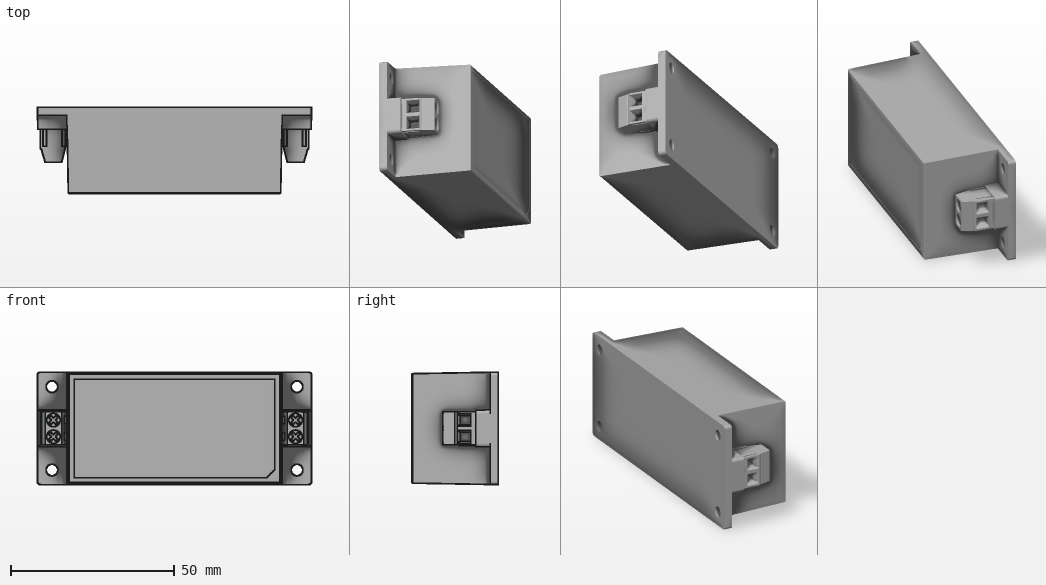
import cadquery as cq
import math


draft_angle = 1.0
case_width = 66.0
case_height = 34.5
case_depth = 26.49
case_edge_chamfer = 0.25

flange_width = 84.0
flange_depth = 2.5
corner_radius = 1.0
shelf_height = 11.4
shelf_depth = 6.83
mounting_hole_diameter = 3.5
mounting_hole_spacing_x = 75.0
mounting_hole_spacing_z = 25.5

recess_width = 61.5
recess_height = 30.1
recess_depth = 0.2
recess_corner_cut = 2.5

pole_pitch = 5.08
pole_count = 2
block_height = pole_count * pole_pitch
block_outer = 41.1
block_inner = case_width / 2 - shelf_depth * math.tan(math.radians(draft_angle))
block_front_outer = 39.6
block_front_inner = 34.5
block_front_depth = 16.95
step_depth = 12.6
bevel_depth = 13.3
bevel_outer = 40.6
outer_slope_depth = 13.6
inner_slope_depth = 10.3
pole_heights = [(i - (pole_count - 1) / 2) * pole_pitch for i in range(pole_count)]

dovetail_positions = (33.9, 39.72)
dovetail_narrow = 0.8
dovetail_wide = 1.25
dovetail_height = 0.25
dovetail_end_depth = 11.95

entry_height = 3.9
entry_start_depth = 8.4
entry_end_depth = step_depth
entry_side_taper = 0.55
entry_front_taper = 0.9
funnel_length = 2.2
entry_length = 5.0

screw_position = (block_front_outer + block_front_inner) / 2
screw_diameter = 4.1
screw_well_depth = 1.0
cross_length = 3.1
cross_width = 0.9
cross_depth = 0.5
notch_position = 33.39
notch_width = 0.77
notch_height = 2.3
notch_floor_depth = 10.0


def drafted_plate(width, height, depth):
    """Plate standing on the mounting face, with its sides drafted inwards."""
    return cq.Workplane("XZ").rect(width, height).extrude(depth, taper=draft_angle)


def rounded_drafted_plate(width, height, depth):
    """Drafted plate with its four corner edges rounded."""
    outline = cq.Sketch().rect(width, height).vertices().fillet(corner_radius)
    return cq.Workplane("XZ").placeSketch(outline).extrude(depth, taper=draft_angle)


def make_case():
    body = drafted_plate(case_width, case_height, case_depth)
    body = body.faces("<Y").chamfer(case_edge_chamfer)
    flange = rounded_drafted_plate(flange_width, case_height, flange_depth)
    shelf = rounded_drafted_plate(flange_width, shelf_height, shelf_depth)
    holes = (
        cq.Workplane("XZ")
        .rect(mounting_hole_spacing_x, mounting_hole_spacing_z, forConstruction=True)
        .vertices()
        .circle(mounting_hole_diameter / 2)
        .extrude(flange_depth)
    )
    recess = (
        cq.Workplane("XZ", origin=(0, -case_depth, 0))
        .rect(recess_width, recess_height)
        .extrude(-recess_depth)
        .edges("|Y and >X and <Z")
        .chamfer(recess_corner_cut)
    )
    return body.union(flange).union(shelf).cut(holes).cut(recess)


def dovetail_bars(side_z):
    """Dovetail bars widening upwards from height side_z, on the -X block."""
    bars = cq.Workplane("XZ", origin=(0, -shelf_depth, 0))
    for position in dovetail_positions:
        bars = (
            bars.moveTo(-position - dovetail_narrow / 2, side_z)
            .lineTo(-position + dovetail_narrow / 2, side_z)
            .lineTo(-position + dovetail_wide / 2, side_z + dovetail_height)
            .lineTo(-position - dovetail_wide / 2, side_z + dovetail_height)
            .close()
        )
    return bars.extrude(dovetail_end_depth - shelf_depth)


def wire_entry(height):
    """Funnel and bore entering the outer side; the wall nearest the shelf stays straight."""
    mouth_size = entry_end_depth - entry_start_depth
    bore_size = mouth_size - entry_front_taper
    bore_height = entry_height - 2 * entry_side_taper
    funnel = (
        cq.Workplane("YZ", origin=(-block_outer, -entry_start_depth - mouth_size / 2, height))
        .rect(mouth_size, entry_height)
        .workplane(offset=funnel_length)
        .center(entry_front_taper / 2, 0)
        .rect(bore_size, bore_height)
        .loft(ruled=True)
    )
    bore = (
        cq.Workplane("YZ", origin=(-block_outer, -entry_start_depth - bore_size / 2, height))
        .rect(bore_size, bore_height)
        .extrude(entry_length)
    )
    return funnel.union(bore)


def screw_well(height):
    """Round well in the front face, with a diagonal cross slot in its floor."""
    floor_depth = block_front_depth - screw_well_depth
    floor = cq.Workplane("XZ", origin=(-screw_position, -floor_depth, height))
    well = floor.circle(screw_diameter / 2).extrude(screw_well_depth)
    for angle in (45, 135):
        slot = floor.transformed(rotate=(0, 0, angle)).rect(cross_length, cross_width)
        well = well.union(slot.extrude(-cross_depth))
    return well


def test_notch(height):
    """Narrow rectangular notch sunk into the inner slope."""
    return (
        cq.Workplane("XZ", origin=(-notch_position, -notch_floor_depth, height))
        .rect(notch_width, notch_height)
        .extrude(block_front_depth - notch_floor_depth)
    )


def make_terminal_block():
    """Terminal block on the -X shelf."""
    block = (
        cq.Workplane("XY", origin=(0, 0, -block_height / 2))
        .polyline(
            [
                (-block_outer, -shelf_depth),
                (-block_outer, -step_depth),
                (-bevel_outer, -bevel_depth),
                (-bevel_outer, -outer_slope_depth),
                (-block_front_outer, -block_front_depth),
                (-block_front_inner, -block_front_depth),
                (-block_inner, -inner_slope_depth),
                (-block_inner, -shelf_depth),
            ]
        )
        .close()
        .extrude(block_height)
    )
    block = block.union(dovetail_bars(block_height / 2))
    block = block.cut(dovetail_bars(-block_height / 2))
    for height in pole_heights:
        block = block.cut(wire_entry(height))
        block = block.cut(screw_well(height))
        block = block.cut(test_notch(height))
    return block


case = make_case()
terminal_blocks = [
    make_terminal_block().rotate((0, 0, 0), (0, 1, 0), turn) for turn in (0, 180)
]

result = cq.Compound.makeCompound([case.val(), *[block.val() for block in terminal_blocks]])